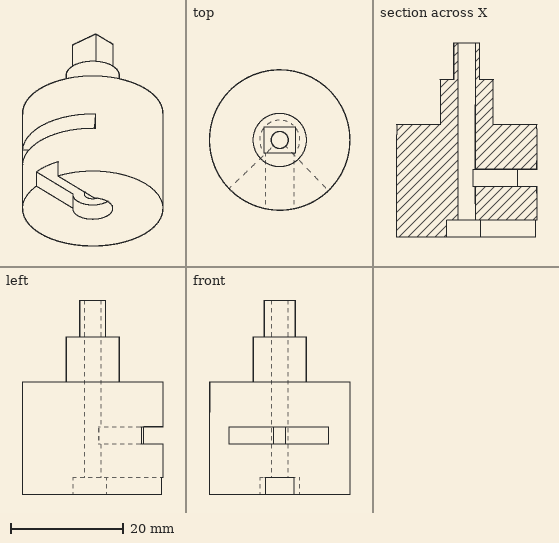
import cadquery as cq
import math

total_height = 34.5
body_diameter = 25.0
body_height = 20.0
shaft_diameter = 9.5
shaft_height = 8.0
drive_width = 5.55
drive_depth = 4.62
drive_height = total_height - body_height - shaft_height

bore_diameter = 3.0
recess_diameter = 7.1

notch_width = 5.07
notch_height = 3.0

window_bottom = 9.0
window_height = 3.0
window_angle = 90.0
window_turn = -1.2
window_middle = -90.0 + window_turn


def make_solid_body():
    """Stack the body, the shaft and the rectangular drive end."""
    body = cq.Workplane("XY").circle(body_diameter / 2).extrude(body_height)
    shaft = (
        cq.Workplane("XY", origin=(0, 0, body_height))
        .circle(shaft_diameter / 2)
        .extrude(shaft_height)
    )
    drive = (
        cq.Workplane("XY", origin=(0, 0, body_height + shaft_height))
        .rect(drive_width, drive_depth)
        .extrude(drive_height)
    )
    return body.union(shaft).union(drive)


def make_bore():
    """Bore along the full height, widened by the recess at the base."""
    bore = cq.Workplane("XY").circle(bore_diameter / 2).extrude(total_height)
    recess = cq.Workplane("XY").circle(recess_diameter / 2).extrude(notch_height)
    return bore.union(recess)


def make_notch():
    """Straight channel from the recess out through the -Y side."""
    return cq.Workplane("XY").box(
        notch_width, body_diameter, notch_height, centered=(True, False, False)
    ).translate((0, -body_diameter, 0))


def make_window():
    """Sector with its tip on the axis, reaching past the body surface."""
    reach = body_diameter

    def rim_point(offset):
        angle = math.radians(window_middle + offset)
        return (reach * math.cos(angle), reach * math.sin(angle))

    return (
        cq.Workplane("XY", origin=(0, 0, window_bottom))
        .lineTo(*rim_point(-window_angle / 2))
        .threePointArc(rim_point(0), rim_point(window_angle / 2))
        .close()
        .extrude(window_height)
    )


result = make_solid_body().cut(make_bore()).cut(make_notch()).cut(make_window())